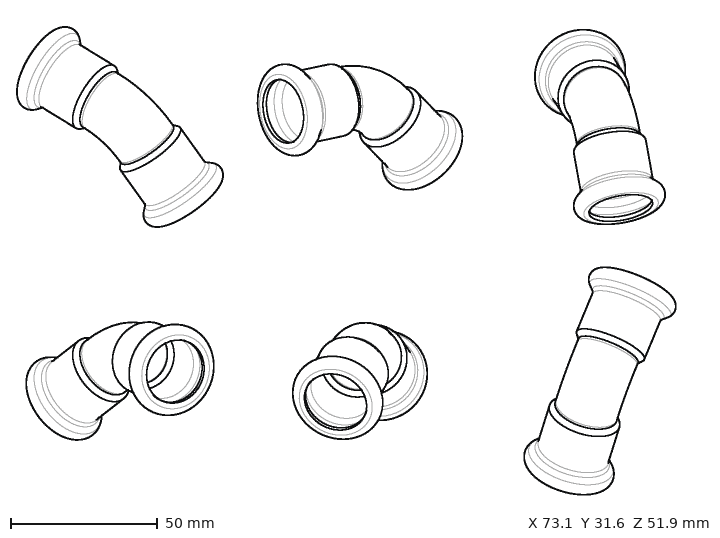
import cadquery as cq
import math

bend_angle = 45
bend_radius = 26.8
wall = 1.5

socket_length = 25.9
tube_radius = 11.0
body_radius = 12.5
bead_radius = 2.9
flange_radius = 15.8
shoulder_fillet = 2.2
taper_start = 23.0
taper_end = 25.0

bead_centre_radius = flange_radius - bead_radius
bore_radius = body_radius - wall
tube_bore_radius = tube_radius - wall
groove_radius = bead_radius - wall
slope = math.sqrt(0.5)
half_turn = math.radians(22.5)


def bead_point(arc_radius, angle):
    """Point on a bead circle, as (axial, radial); zero degrees points away from the mouth."""
    a = math.radians(angle)
    return bead_radius + arc_radius * math.cos(a), bead_centre_radius + arc_radius * math.sin(a)


def revolve_about_x(profile):
    return profile.close().revolve(360, (0, 0, 0), (1, 0, 0))


def draw_shoulder(profile, arc_radius, tube, fillet_radius):
    """Round the bead, then run down its 45 degree cone and fillet onto the straight tube."""
    setback = fillet_radius * math.tan(half_turn)
    cone_start = bead_point(arc_radius, 45)
    cone_foot = cone_start[0] + cone_start[1] - tube
    fillet_start = (cone_foot - setback * slope, tube + setback * slope)
    fillet_end = (cone_foot + setback, tube)
    fillet_middle = (
        fillet_end[0] - fillet_radius * math.sin(half_turn),
        tube + fillet_radius * (1 - math.cos(half_turn)),
    )
    return (
        profile.threePointArc(bead_point(arc_radius, 112.5), cone_start)
        .lineTo(*fillet_start)
        .threePointArc(fillet_middle, fillet_end)
    )


def draw_neck(profile, body, neck):
    """Continue the tube, taper it down to the bend and return to the axis."""
    return (
        profile.lineTo(taper_start, body)
        .lineTo(taper_end, neck)
        .lineTo(socket_length, neck)
        .lineTo(socket_length, 0)
    )


def socket_outside():
    profile = cq.Workplane("XZ").lineTo(0, bead_centre_radius)
    profile = draw_shoulder(profile, bead_radius, body_radius, shoulder_fillet)
    return revolve_about_x(draw_neck(profile, body_radius, tube_radius))


def socket_bore():
    lip = cq.Workplane("XZ").lineTo(0, bore_radius).lineTo(wall, bore_radius)
    profile = lip.lineTo(wall, bead_centre_radius)
    profile = draw_shoulder(profile, groove_radius, bore_radius, shoulder_fillet + wall)
    return revolve_about_x(draw_neck(profile, bore_radius, tube_bore_radius))


def bend():
    return (
        cq.Workplane("YZ", origin=(socket_length, 0, 0))
        .circle(tube_radius)
        .circle(tube_bore_radius)
        .revolve(bend_angle, (0, -bend_radius, 0), (1, -bend_radius, 0))
    )


def opposite_end(socket):
    """Mirror a socket onto the other end of the bend."""
    bend_centre = (socket_length, 0, -bend_radius)
    axis_end = (socket_length, 1, -bend_radius)
    return socket.mirror("YZ", (socket_length, 0, 0)).rotate(bend_centre, axis_end, bend_angle)


inlet = socket_outside().cut(socket_bore())
result = inlet.union(bend()).union(opposite_end(inlet))